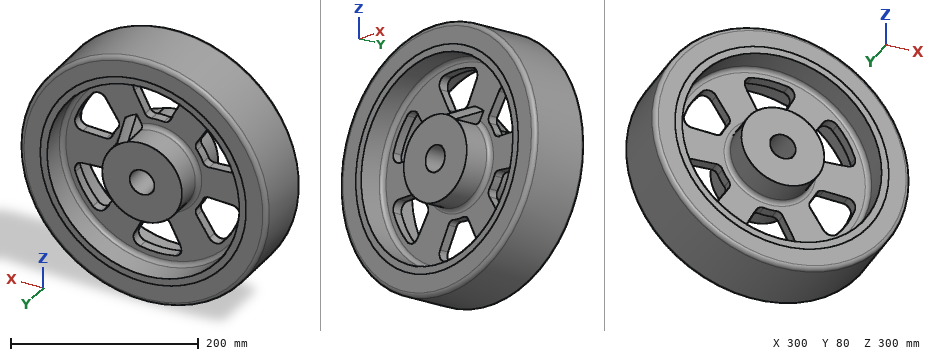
import cadquery as cq
import math

tire_diameter = 300.0
tire_width = 75.0
tire_edge_radius = 5.0

rim_outer_diameter = 250.0
rim_inner_diameter = 233.0
web_thickness = 12.0
hub_diameter = 97.0
hub_length = 80.0
bore_diameter = 30.0
root_radius = 5.0

window_count = 6
window_inner_radius = 60.0
window_outer_radius = 105.0
window_outer_corner_radius = 10.0
window_inner_corner_radius = 7.5
window_side_angle = 27.3
spoke_half_width = 18.5

rib_angle = 60.0
rib_width = 16.0
rib_tip_radius = 64.5


def disc(diameter, length):
    """Cylinder on the Y axis, centered on Y = 0."""
    return cq.Workplane("XZ", origin=(0, length / 2, 0)).circle(diameter / 2).extrude(length)


def make_tire():
    tire = disc(tire_diameter, tire_width).edges().fillet(tire_edge_radius)
    return tire.cut(disc(rim_outer_diameter, tire_width))


def make_wheel_blank():
    """Rim, web and hub as one turned profile, with rounded web roots."""
    hub_radius = hub_diameter / 2
    rim_inner_radius = rim_inner_diameter / 2
    rim_outer_radius = rim_outer_diameter / 2
    half_web = web_thickness / 2
    half_hub = hub_length / 2
    half_rim = tire_width / 2
    profile = (
        cq.Workplane("XY")
        .moveTo(bore_diameter / 2, -half_hub)
        .lineTo(hub_radius, -half_hub)
        .lineTo(hub_radius, -half_web)
        .lineTo(rim_inner_radius, -half_web)
        .lineTo(rim_inner_radius, -half_rim)
        .lineTo(rim_outer_radius, -half_rim)
        .lineTo(rim_outer_radius, half_rim)
        .lineTo(rim_inner_radius, half_rim)
        .lineTo(rim_inner_radius, half_web)
        .lineTo(hub_radius, half_web)
        .lineTo(hub_radius, half_hub)
        .lineTo(bore_diameter / 2, half_hub)
        .close()
    )
    blank = profile.revolve(360, (0, 0, 0), (0, 1, 0))
    web_roots = blank.faces(cq.selectors.BoxSelector(
        (-rim_inner_radius, -web_thickness, -rim_inner_radius),
        (rim_inner_radius, web_thickness, rim_inner_radius),
    )).faces("|Y").edges()
    return web_roots.fillet(root_radius)


def make_window():
    """Cutter for one window, centered on +Z: a wedge between two arcs, with rounded corners."""
    side_angle = math.radians(window_side_angle)
    spoke_slope = math.radians(180 / window_count - window_side_angle)
    side_offset = (spoke_half_width - window_inner_radius * math.tan(spoke_slope)) * math.cos(spoke_slope)
    apex_height = side_offset / math.sin(side_angle)
    wedge_height = tire_diameter / 2
    wedge_half_width = (wedge_height - apex_height) * math.tan(side_angle)
    cutter_length = 2 * web_thickness
    wedge = (
        cq.Workplane("XZ", origin=(0, cutter_length / 2, 0))
        .moveTo(0, apex_height)
        .lineTo(wedge_half_width, wedge_height)
        .lineTo(-wedge_half_width, wedge_height)
        .close()
        .extrude(cutter_length)
    )
    ring = disc(2 * window_outer_radius, cutter_length).cut(disc(2 * window_inner_radius, cutter_length))
    window = wedge.intersect(ring)
    window = window.edges("|Y").edges(">Z").fillet(window_outer_corner_radius)
    return window.edges("|Y").edges("<Z").fillet(window_inner_corner_radius)


def make_rib():
    """Rib on the -Y side: a slice of the cone from the edge of the hub end face down to the web."""
    hub_radius = hub_diameter / 2
    foot_radius = hub_radius - root_radius
    cone = (
        cq.Workplane("XY")
        .moveTo(foot_radius, 0)
        .lineTo(rib_tip_radius, 0)
        .lineTo(rib_tip_radius, -web_thickness / 2)
        .lineTo(hub_radius, -hub_length / 2)
        .lineTo(foot_radius, -hub_length / 2)
        .close()
        .revolve(360, (0, 0, 0), (0, 1, 0))
    )
    slice_box = cq.Workplane("XY").box(rib_tip_radius, hub_length, rib_width, centered=(False, True, True))
    return cone.intersect(slice_box).rotate((0, 0, 0), (0, 1, 0), -rib_angle)


def make_wheel():
    wheel = make_wheel_blank()
    window = make_window()
    for index in range(window_count):
        wheel = wheel.cut(window.rotate((0, 0, 0), (0, 1, 0), index * 360 / window_count))
    rib = make_rib()
    return wheel.union(rib).union(rib.mirror("XZ"))


tire = make_tire()
wheel = make_wheel()
result = cq.Compound.makeCompound([tire.val(), wheel.val()])